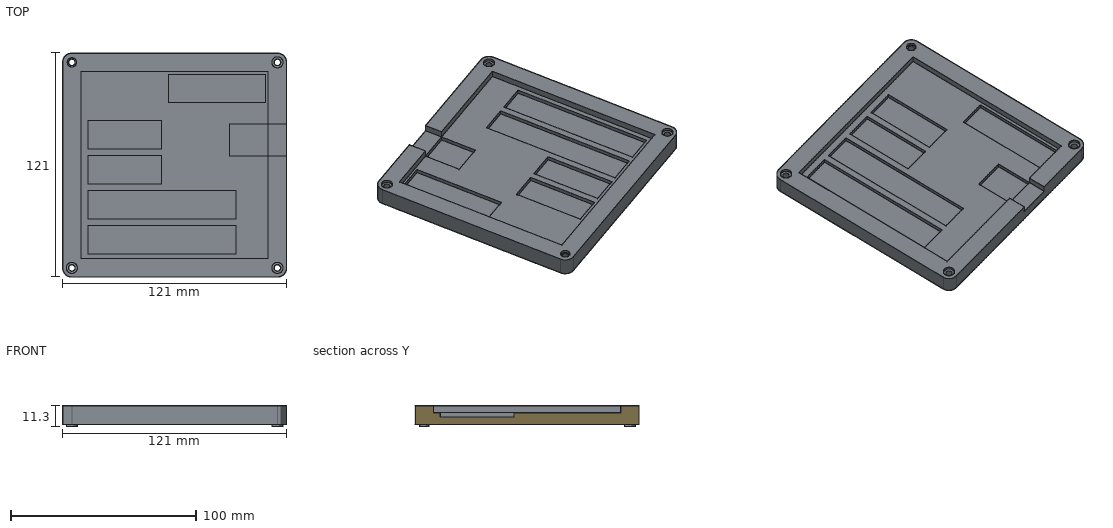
import cadquery as cq

side = 121.0
half_side = side / 2
total_height = 11.27
foot_height = 1.07
body_height = total_height - foot_height
corner_radius = 5.0

rim_width = 10.0
recess_size = side - 2 * rim_width
recess_half = recess_size / 2
recess_depth = 3.8
floor_z = body_height - recess_depth

pocket_depth = 2.2
pocket_width = 15.4
pocket_pitch = 18.9
pocket_left = -46.9
first_pocket_bottom = -47.95
long_pocket = 80.0
short_pocket = 39.7
pocket_lengths = [long_pocket, long_pocket, short_pocket, short_pocket]

upper_pocket_length = 52.5
upper_pocket_width = 15.0
upper_pocket_right = 49.2
upper_pocket_bottom = 33.8

connector_left = 29.5
connector_bottom = 4.8
connector_width = 17.5

hole_offset = half_side - corner_radius
hole_diameter = 3.4
mount_diameter = 6.0
small_mount_diameter = 5.0
counterbore_depth = 1.5
corners = [(sx * hole_offset, sy * hole_offset) for sx in (-1, 1) for sy in (-1, 1)]
small_mount_corner = (-hole_offset, hole_offset)


def block(left, bottom, length, width, z_bottom, z_top):
    """Box given by its lower-left corner, plan size and Z range."""
    return cq.Workplane("XY").box(length, width, z_top - z_bottom, centered=False).translate(
        (left, bottom, z_bottom)
    )


def floor_pocket(left, bottom, length, width):
    """Rectangular cutter sunk below the recess floor."""
    return block(left, bottom, length, width, floor_z - pocket_depth, floor_z)


def disc(center, diameter, z_bottom, z_top):
    """Vertical cylinder over the given Z range."""
    x, y = center
    return (
        cq.Workplane("XY", origin=(x, y, z_bottom))
        .circle(diameter / 2)
        .extrude(z_top - z_bottom)
    )


def tray():
    """Rounded square body with its main recess."""
    body = cq.Workplane("XY").rect(side, side).extrude(body_height)
    body = body.edges("|Z").fillet(corner_radius)
    return body.cut(
        block(-recess_half, -recess_half, recess_size, recess_size, floor_z, body_height)
    )


def cut_floor_pockets(body):
    """Row of pockets along the -X side and the single one near +Y."""
    for row, length in enumerate(pocket_lengths):
        bottom = first_pocket_bottom + row * pocket_pitch
        body = body.cut(floor_pocket(pocket_left, bottom, length, pocket_width))
    upper_left = upper_pocket_right - upper_pocket_length
    return body.cut(
        floor_pocket(upper_left, upper_pocket_bottom, upper_pocket_length, upper_pocket_width)
    )


def cut_connector_opening(body):
    """Connector pocket in the floor and matching notch through the +X rim."""
    pocket_length = recess_half - connector_left
    body = body.cut(floor_pocket(connector_left, connector_bottom, pocket_length, connector_width))
    return body.cut(
        block(recess_half, connector_bottom, rim_width, connector_width, floor_z, body_height)
    )


def add_corner_mounts(body):
    """Feet below the corners, with counterbored screw holes through them."""
    for corner in corners:
        diameter = small_mount_diameter if corner == small_mount_corner else mount_diameter
        body = body.union(disc(corner, diameter, -foot_height, 0))
        body = body.cut(disc(corner, hole_diameter, -foot_height, body_height))
        body = body.cut(disc(corner, diameter, body_height - counterbore_depth, body_height))
    return body


result = add_corner_mounts(cut_connector_opening(cut_floor_pockets(tray())))